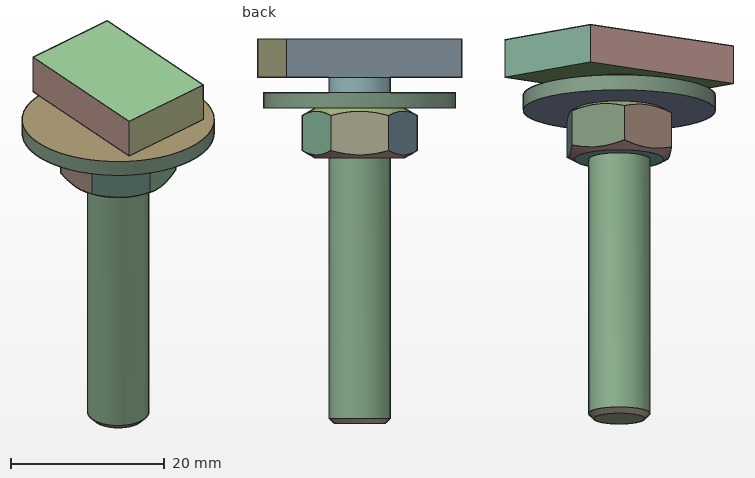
import cadquery as cq
import math


stud_diameter = 8.0
stud_tip_diameter = 6.647
stud_chamfer = (stud_diameter - stud_tip_diameter) / 2
overall_length = 50.0

head_thickness = 5.0
head_depth = 14.0
head_width = 22.0
head_skew_angle = math.radians(15.0)

washer_diameter = 25.0
washer_thickness = 2.0
head_to_washer_gap = 2.0

nut_across_flats = 13.0
nut_sides = 6
nut_height = 6.5
nut_bearing_diameter = 11.6
nut_chamfer_angle = math.radians(30.0)

head_bottom = overall_length - head_thickness
washer_bottom = head_bottom - head_to_washer_gap - washer_thickness
nut_bottom = washer_bottom - nut_height


def make_stud():
    stud = cq.Workplane("XY").circle(stud_diameter / 2).extrude(overall_length)
    return stud.faces("<Z").chamfer(stud_chamfer)


def make_head():
    half_depth = head_depth / 2
    half_side = head_width / math.cos(head_skew_angle) / 2
    half_skew = half_depth * math.tan(head_skew_angle)
    corners = [
        (half_skew - half_side, -half_depth),
        (half_skew + half_side, -half_depth),
        (half_side - half_skew, half_depth),
        (-half_side - half_skew, half_depth),
    ]
    outline = cq.Workplane("XY").workplane(offset=head_bottom).polyline(corners).close()
    return outline.extrude(head_thickness)


def make_washer():
    disc = cq.Workplane("XY").workplane(offset=washer_bottom).circle(washer_diameter / 2)
    return disc.extrude(washer_thickness)


def make_nut():
    across_corners = nut_across_flats / math.cos(math.pi / nut_sides)
    prism = (
        cq.Workplane("XY")
        .workplane(offset=nut_bottom)
        .polygon(nut_sides, across_corners)
        .extrude(nut_height)
    )
    bearing_radius = nut_bearing_diameter / 2
    blank_radius = across_corners / 2
    cone_height = (blank_radius - bearing_radius) * math.tan(nut_chamfer_angle)
    blank = (
        cq.Workplane("XZ")
        .moveTo(0, nut_bottom)
        .lineTo(bearing_radius, nut_bottom)
        .lineTo(blank_radius, nut_bottom + cone_height)
        .lineTo(blank_radius, washer_bottom - cone_height)
        .lineTo(bearing_radius, washer_bottom)
        .lineTo(0, washer_bottom)
        .close()
        .revolve(360, (0, 0, 0), (0, 1, 0))
    )
    return prism.intersect(blank)


result = make_stud().union(make_head()).union(make_washer()).union(make_nut())